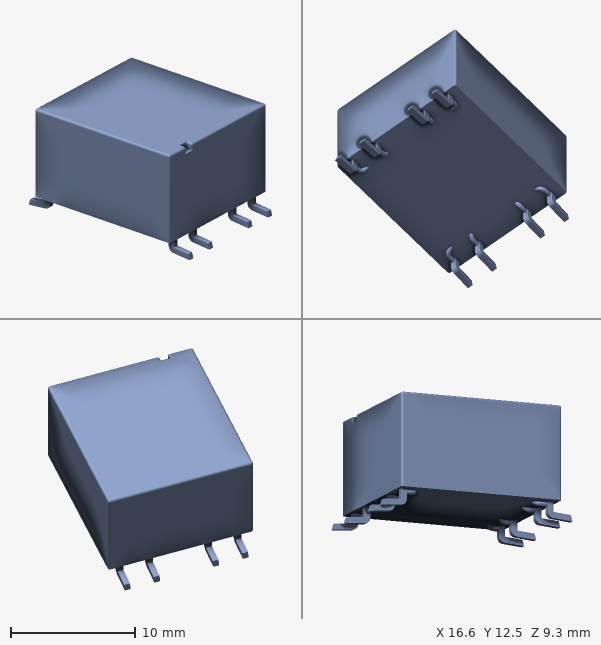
import cadquery as cq
import math

housing_length = 14.0
housing_width = 12.5
housing_height = 7.84
wall = 0.35
roof = 1.0
edge_radius = 0.2

notch_inset = 0.6
notch_depth = 0.6
notch_floor_width = 0.7
notch_y = -3.72

overall_length = 16.6
overall_height = 9.3
lead_width = 0.5
lead_thickness = 0.5
lead_pitch = 2.54
foot_slope = math.radians(5.0)
tip_rake = math.radians(15.0)
inner_bend_radius = 0.05
outer_bend_radius = 0.5

wire_diameter = 0.4
wire_axis_z = -0.18
wire_straight = 0.37
wire_reach = 1.03
wire_rise = 0.5
outer_wire_shift = 0.76
inner_wire_shift = 0.2

cavity_length = housing_length - 2 * wall
cavity_width = housing_width - 2 * wall
cavity_height = housing_height - roof
lead_outer_x = cavity_length / 2
lead_inner_x = lead_outer_x - lead_thickness
tip_x = overall_length / 2
tip_z = housing_height - overall_height
inner_lead_y = lead_pitch
outer_lead_y = 2 * lead_pitch


def standing_box(length, width, height):
    """Box centred on the Z axis, standing on Z = 0."""
    return cq.Workplane("XY").box(length, width, height, centered=(True, True, False))


def make_notch():
    """Cutter for the notch, centred on the top edge of the +X wall."""
    cutter = cq.Workplane("XY").box(2 * notch_inset, notch_floor_width, 2 * notch_depth)
    return cutter.translate((housing_length / 2, notch_y, housing_height))


def round_rim_and_notch(block):
    """Round the top rim, the notch sides and the notch mouth; the inner notch edge stays sharp."""
    top_edges = block.faces(">Z").edges()
    inner_notch_edge = top_edges.edges(cq.selectors.NearestToPointSelector(
        (housing_length / 2 - notch_inset, notch_y, housing_height)
    )).val()
    rim = [edge for edge in top_edges.vals() if not edge.isSame(inner_notch_edge)]
    notch_mouth = block.faces(">X").edges("|Z").edges(cq.selectors.BoxSelector(
        (0, notch_y - notch_floor_width, housing_height - notch_depth),
        (housing_length, notch_y + notch_floor_width, housing_height),
    )).vals()
    return block.newObject(rim + notch_mouth).fillet(edge_radius)


def make_housing():
    block = standing_box(housing_length, housing_width, housing_height)
    block = block.edges("|Z").fillet(edge_radius)
    block = round_rim_and_notch(block.cut(make_notch()))
    return block.cut(standing_box(cavity_length, cavity_width, cavity_height))


def make_lead(y):
    """Lead of the +X row: straight down from the filling, then bent outward."""
    heel_z = tip_z + (tip_x - lead_inner_x) * math.tan(foot_slope)
    tip_length = lead_thickness / math.cos(tip_rake + foot_slope)
    tip_top_x = tip_x - tip_length * math.sin(tip_rake)
    tip_top_z = tip_z + tip_length * math.cos(tip_rake)
    instep_z = tip_top_z + (tip_top_x - lead_outer_x) * math.tan(foot_slope)
    profile = [
        (lead_inner_x, 0),
        (lead_inner_x, heel_z),
        (tip_x, tip_z),
        (tip_top_x, tip_top_z),
        (lead_outer_x, instep_z),
        (lead_outer_x, 0),
    ]
    lead = cq.Workplane("XZ").polyline(profile).close().extrude(lead_width / 2, both=True)
    heel = cq.selectors.NearestToPointSelector((lead_inner_x, 0, heel_z))
    lead = lead.edges(heel).fillet(outer_bend_radius)
    instep = cq.selectors.NearestToPointSelector((lead_outer_x, 0, instep_z))
    lead = lead.edges(instep).fillet(inner_bend_radius)
    return lead.translate((0, y, 0))


def make_wire(y, shift):
    """Wire of the +X row: straight out of the lead, then curving to the middle and up."""
    start = cq.Vector(lead_inner_x + lead_thickness / 2, y, wire_axis_z)
    bend = cq.Vector(lead_inner_x - wire_straight, y, wire_axis_z)
    end = cq.Vector(
        lead_inner_x - wire_reach, y - math.copysign(shift, y), wire_axis_z + wire_rise
    )
    start_direction = cq.Vector(-1, 0, 0)
    end_direction = end - bend + cq.Vector(0, 0, wire_rise)
    curve = cq.Edge.makeSpline([bend, end], [start_direction, end_direction])
    path = cq.Wire.assembleEdges([cq.Edge.makeLine(start, bend), curve])
    return cq.Workplane("YZ", origin=start.toTuple()).circle(wire_diameter / 2).sweep(path)


def make_core():
    """Filling of the cup, in one piece with the leads and wires that it carries."""
    core = standing_box(cavity_length, cavity_width, cavity_height)
    lead_rows = [(inner_lead_y, inner_wire_shift), (outer_lead_y, outer_wire_shift)]
    for distance, shift in lead_rows:
        for y in (-distance, distance):
            terminal = make_lead(y).union(make_wire(y, shift))
            core = core.union(terminal).union(terminal.mirror("YZ"))
    return core


housing = make_housing()
core = make_core()

result = cq.Compound.makeCompound([housing.solids().val(), core.solids().val()])